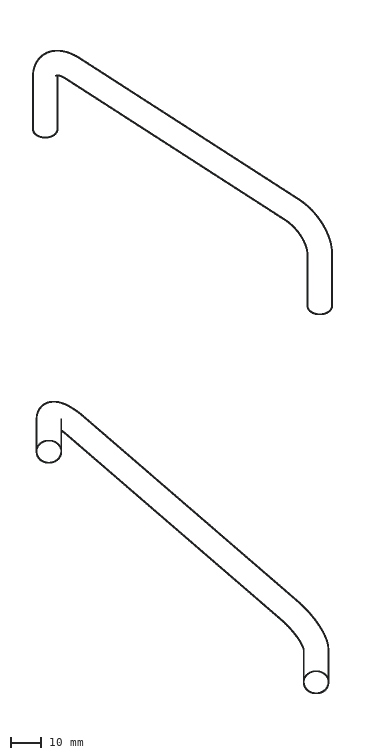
import cadquery as cq
import math

overall_length = 128.0
overall_height = 40.0
rod_diameter = 8.0
outer_bend_radius = 16.0

rod_radius = rod_diameter / 2
bend_radius = outer_bend_radius - rod_radius
leg_x = overall_length / 2 - rod_radius
bar_z = overall_height - rod_radius
leg_top_z = bar_z - bend_radius
bar_end_x = leg_x - bend_radius
bend_mid_offset = bend_radius * math.sqrt(0.5)
bend_mid_x = bar_end_x + bend_mid_offset
bend_mid_z = leg_top_z + bend_mid_offset

centreline = (
    cq.Workplane("XZ")
    .moveTo(-leg_x, 0)
    .lineTo(-leg_x, leg_top_z)
    .threePointArc((-bend_mid_x, bend_mid_z), (-bar_end_x, bar_z))
    .lineTo(bar_end_x, bar_z)
    .threePointArc((bend_mid_x, bend_mid_z), (leg_x, leg_top_z))
    .lineTo(leg_x, 0)
)

result = cq.Workplane("XY").center(-leg_x, 0).circle(rod_radius).sweep(centreline)